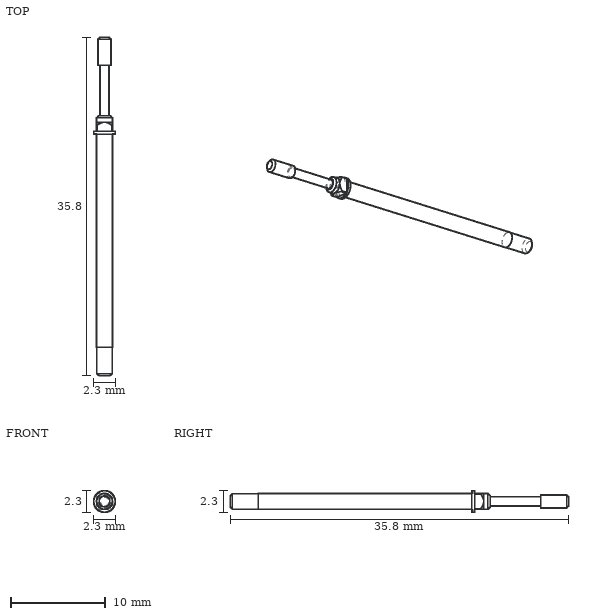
import cadquery as cq


barrel_dia = 1.7
tail_dia = 1.66
flange_dia = 2.3
mouth_dia = 1.2
plunger_dia = 1.0
head_dia = 1.4

total_length = 35.8
barrel_length = 25.55
tail_length = 3.0
tail_chamfer = 0.25
flange_thickness = 0.3
square_length = 0.95
shoulder_length = 0.45
mouth_taper = 0.25
head_length = 3.0
head_chamfer = 0.25

square_side = barrel_dia

tail_end = -barrel_length
square_start = flange_thickness
square_end = square_start + square_length
mouth_end = square_end + shoulder_length + mouth_taper
tip = total_length - barrel_length
head_start = tip - head_length


def cylinder(diameter, start, end):
    """Round bar along Y from start to end."""
    return cq.Workplane("XZ", origin=(0, end, 0)).circle(diameter / 2).extrude(end - start)


def make_barrel():
    tail = cylinder(tail_dia, tail_end, tail_end + tail_length).faces("<Y").chamfer(tail_chamfer)
    return cylinder(barrel_dia, tail_end + tail_length, 0).union(tail)


def make_square():
    """Square section whose corners are turned off at 45 degrees towards the mouth."""
    bar = (
        cq.Workplane("XZ", origin=(0, square_end, 0))
        .rect(square_side, square_side)
        .extrude(square_length)
    )
    corner_turn = (flange_dia - square_side) / 2
    turned_blank = cylinder(flange_dia, square_start, square_end).faces(">Y").chamfer(corner_turn)
    return bar.intersect(turned_blank)


def make_mouth():
    """Round shoulder ahead of the square, tapering down to the plunger opening."""
    taper_start = mouth_end - mouth_taper
    profile = [
        (0, square_end),
        (barrel_dia / 2, square_end),
        (barrel_dia / 2, taper_start),
        (mouth_dia / 2, mouth_end),
        (0, mouth_end),
    ]
    return cq.Workplane("XY").polyline(profile).close().revolve(360, (0, 0, 0), (0, 1, 0))


def make_plunger():
    stem = cylinder(plunger_dia, mouth_end, head_start)
    head = cylinder(head_dia, head_start, tip).faces(">Y").chamfer(head_chamfer)
    return stem.union(head)


flange = cylinder(flange_dia, 0, flange_thickness)

result = make_barrel().union(flange).union(make_square()).union(make_mouth()).union(make_plunger())